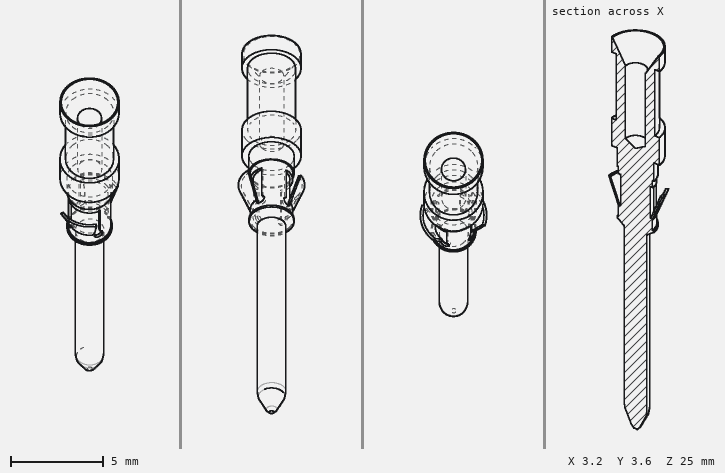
import cadquery as cq
import math

total_height = 25.0
rim_bottom = 24.0
collar_top = 19.7
collar_bottom = 17.88
neck_bottom = 16.68
window_top = 16.22
tongue_top = 15.85
hinge_height = 14.15
sleeve_bottom = 13.45
flange_bottom = 13.32
shoulder_bottom = 12.98
tip_start = 1.45
tip_break = 1.1
tip_nose = 0.2

collar_radius = 1.6
barrel_radius = 1.3
neck_radius = 1.22
sleeve_radius = 1.15
core_radius = 1.0
pin_radius = 0.78
tip_break_radius = 0.72
tip_nose_radius = 0.3
tip_end_radius = 0.12

bore_radius = 0.65
funnel_radius = 1.52
funnel_depth = 1.5
bore_bottom = 18.75
drill_point_angle = 118.0

tongue_tip_radius = 1.8
tongue_half_angle = 36.0
window_half_angle = 54.0
tongue_directions = (83.0, 263.0)
relief_radius = 0.25
relief_height = 14.1
relief_offset_angle = 49.0


def sector(profile, half_angle, direction):
    """Revolve a radius-height profile symmetrically about a direction around Z."""
    solid = cq.Workplane("XZ").polyline(profile).close().revolve(2 * half_angle, (0, 0), (0, 1))
    middle = solid.val().Center()
    current_direction = math.degrees(math.atan2(middle.y, middle.x))
    return solid.rotate((0, 0, 0), (0, 0, 1), direction - current_direction)


def turned_body():
    profile = [
        (0, 0),
        (tip_end_radius, 0),
        (tip_nose_radius, tip_nose),
        (tip_break_radius, tip_break),
        (pin_radius, tip_start),
        (pin_radius, shoulder_bottom),
        (neck_radius, flange_bottom),
        (neck_radius, sleeve_bottom),
        (sleeve_radius, sleeve_bottom),
        (sleeve_radius, neck_bottom),
        (neck_radius, neck_bottom),
        (neck_radius, collar_bottom),
        (collar_radius, collar_bottom),
        (collar_radius, collar_top),
        (barrel_radius, collar_top),
        (barrel_radius, rim_bottom),
        (collar_radius, rim_bottom),
        (collar_radius, total_height),
        (0, total_height),
    ]
    return cq.Workplane("XZ").polyline(profile).close().revolve(360, (0, 0), (0, 1))


def wire_bore():
    """Funnel mouth, straight bore and conical drill point."""
    point_depth = bore_radius / math.tan(math.radians(drill_point_angle / 2))
    profile = [
        (0, bore_bottom - point_depth),
        (bore_radius, bore_bottom),
        (bore_radius, total_height - funnel_depth),
        (funnel_radius, total_height),
        (0, total_height),
    ]
    return cq.Workplane("XZ").polyline(profile).close().revolve(360, (0, 0), (0, 1))


def window(direction):
    """Sleeve opening down to the core, with a round relief beside each tongue edge."""
    profile = [
        (core_radius, hinge_height),
        (neck_radius, hinge_height),
        (neck_radius, window_top),
        (core_radius, window_top),
    ]
    opening = sector(profile, window_half_angle, direction)
    core = cq.Workplane("XY").circle(core_radius).extrude(total_height)
    for side in (-1, 1):
        angle = direction + side * relief_offset_angle
        relief = (
            cq.Workplane("YZ")
            .center(0, relief_height)
            .circle(relief_radius)
            .extrude(neck_radius)
            .rotate((0, 0, 0), (0, 0, 1), angle)
        )
        opening = opening.union(relief.cut(core))
    return opening


def tongue(direction):
    """Conical strip flaring outward and upward from its hinge on the sleeve."""
    wall = sleeve_radius - core_radius
    profile = [
        (core_radius, hinge_height),
        (sleeve_radius, hinge_height),
        (tongue_tip_radius, tongue_top),
        (tongue_tip_radius - wall, tongue_top),
    ]
    return sector(profile, tongue_half_angle, direction)


result = turned_body().cut(wire_bore())
for tongue_direction in tongue_directions:
    result = result.cut(window(tongue_direction))
    result = result.union(tongue(tongue_direction))